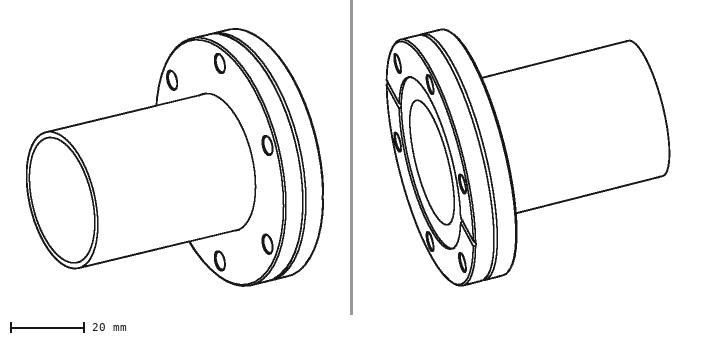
import cadquery as cq

total_length = 62.5

ring_diameter = 69.1
ring_thickness = 12.65
ring_bore_diameter = 38.3
edge_chamfer = 0.5

rim_groove_width = 1.0
rim_groove_depth = 0.35
rim_groove_center_y = -ring_thickness / 2

bolt_count = 6
bolt_circle_diameter = 58.75
bolt_hole_diameter = 4.9
bolt_hole_chamfer = 0.3
first_bolt_angle = 90.0

leak_groove_width = 2.0
leak_groove_depth = 0.6

tube_diameter = 38.1
tube_bore_diameter = 34.9
collar_diameter = 48.2
collar_thickness = 5.5
collar_back_y = -leak_groove_depth
collar_front_y = collar_back_y - collar_thickness


def cylinder(diameter, start_y, end_y):
    """Solid cylinder on the Y axis, from start_y down to end_y."""
    return (
        cq.Workplane("XZ", origin=(0, start_y, 0))
        .circle(diameter / 2)
        .extrude(start_y - end_y)
    )


def make_rim_groove():
    """Revolved cutter with a circular-arc bottom."""
    rim_radius = ring_diameter / 2
    half_width = rim_groove_width / 2
    return (
        cq.Workplane("XY")
        .moveTo(rim_radius, rim_groove_center_y - half_width)
        .threePointArc(
            (rim_radius - rim_groove_depth, rim_groove_center_y),
            (rim_radius, rim_groove_center_y + half_width),
        )
        .lineTo(rim_radius + rim_groove_depth, rim_groove_center_y + half_width)
        .lineTo(rim_radius + rim_groove_depth, rim_groove_center_y - half_width)
        .close()
        .revolve(360, (0, 0, 0), (0, 1, 0))
    )


def make_leak_groove():
    """Arc-section cutter that runs across the whole sealing face."""
    half_width = leak_groove_width / 2
    return (
        cq.Workplane("YZ")
        .moveTo(0, -half_width)
        .threePointArc((-leak_groove_depth, 0), (0, half_width))
        .close()
        .extrude(ring_diameter / 2, both=True)
    )


def make_bolt_holes():
    """Through-hole cutters, each with a small countersink at both faces."""
    hole_radius = bolt_hole_diameter / 2
    profile = [
        (0, 0),
        (hole_radius + bolt_hole_chamfer, 0),
        (hole_radius, -bolt_hole_chamfer),
        (hole_radius, bolt_hole_chamfer - ring_thickness),
        (hole_radius + bolt_hole_chamfer, -ring_thickness),
        (0, -ring_thickness),
    ]
    hole = cq.Workplane("XY").polyline(profile).close().revolve(360, (0, 0, 0), (0, 1, 0))
    hole = hole.translate((bolt_circle_diameter / 2, 0, 0))
    holes = cq.Workplane("XY")
    for index in range(bolt_count):
        angle = first_bolt_angle + index * 360 / bolt_count
        holes = holes.add(hole.rotate((0, 0, 0), (0, 1, 0), angle))
    return holes.combine()


def make_ring():
    """Rotatable ring with a counterbore that holds the tube collar."""
    ring = cylinder(ring_diameter, 0, -ring_thickness).edges().chamfer(edge_chamfer)
    ring = ring.cut(cylinder(ring_bore_diameter, 0, -ring_thickness))
    ring = ring.cut(cylinder(collar_diameter, 0, collar_front_y))
    ring = ring.cut(make_rim_groove())
    ring = ring.cut(make_bolt_holes())
    return ring.cut(make_leak_groove())


def make_collared_tube():
    """Tube whose collar seats in the ring, set back to the leak-groove floor."""
    tube = cylinder(tube_diameter, collar_back_y, -total_length)
    collar = cylinder(collar_diameter, collar_back_y, collar_front_y)
    bore = cylinder(tube_bore_diameter, collar_back_y, -total_length)
    return tube.union(collar).cut(bore)


ring = make_ring()
collared_tube = make_collared_tube()

result = cq.Compound.makeCompound([ring.val(), collared_tube.val()])